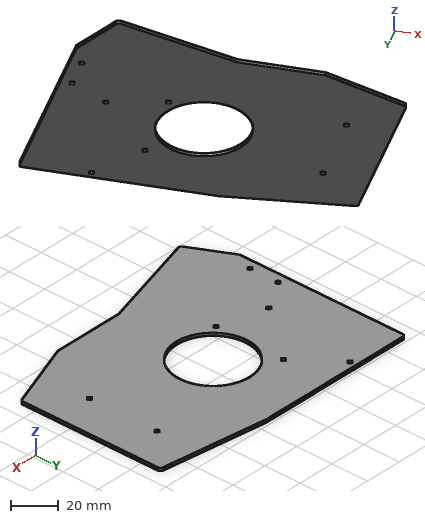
import cadquery as cq

length = 145.4
width = 116.3
thickness = 1.6

tip_x = 11.9
tip_y = -0.3
left_edge_bottom = 23.0
lower_edge_y = 15.7
lower_edge_start = 68.0
lower_edge_end = 106.3
right_edge_bottom = 30.0
right_edge_top = 108.6
top_edge_end = 87.3
corner_radius = 1.5

opening_diameter = 41.2
opening_x = 67.8
opening_y = 68.6

hole_diameter = 2.2
mount_left_x = 48.0
mount_right_x = 124.8
mount_pitch_y = 38.0
left_mount_bottom = 52.6
right_mount_bottom = 50.2
edge_hole_x = 5.1
edge_hole_bottom = 33.3
edge_hole_pitch = 15.9
upper_hole = (30.7, 112.7)
middle_hole = (22.5, 59.5)


def make_plate():
    """Flat plate with its straight-sided outline and rounded outer corners."""
    tip = (tip_x, tip_y)
    left_bottom = (0, left_edge_bottom)
    left_top = (0, width)
    right_top = (length, right_edge_top)
    right_bottom = (length, right_edge_bottom)
    outline = [
        tip,
        (lower_edge_start, lower_edge_y),
        (lower_edge_end, lower_edge_y),
        right_bottom,
        right_top,
        (top_edge_end, width),
        left_top,
        left_bottom,
    ]
    plate = cq.Workplane("XY").polyline(outline).close().extrude(thickness)
    for x, y in (tip, right_bottom, right_top, left_top, left_bottom):
        corner_edge = cq.selectors.NearestToPointSelector((x, y, thickness / 2))
        plate = plate.edges("|Z").edges(corner_edge).fillet(corner_radius)
    return plate


def through_cutter(points, diameter):
    """Cylinders through the full plate thickness at the given centres."""
    return cq.Workplane("XY").pushPoints(points).circle(diameter / 2).extrude(thickness)


hole_centres = [upper_hole, middle_hole]
for column_x, bottom_y, pitch in (
    (mount_left_x, left_mount_bottom, mount_pitch_y),
    (mount_right_x, right_mount_bottom, mount_pitch_y),
    (edge_hole_x, edge_hole_bottom, edge_hole_pitch),
):
    hole_centres += [(column_x, bottom_y), (column_x, bottom_y + pitch)]

result = (
    make_plate()
    .cut(through_cutter([(opening_x, opening_y)], opening_diameter))
    .cut(through_cutter(hole_centres, hole_diameter))
)